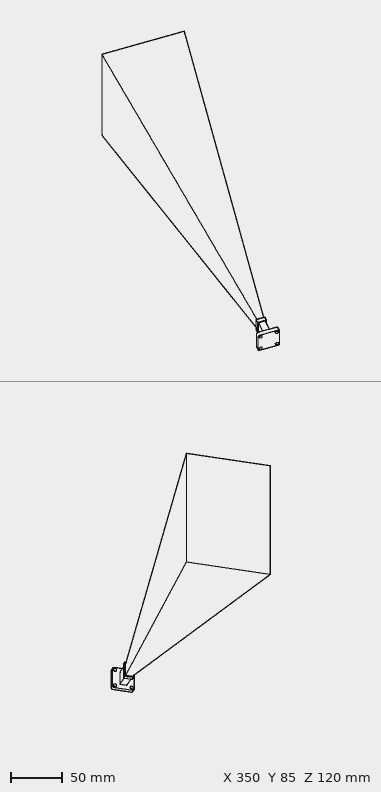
import cadquery as cq

total_length = 350.0
mouth_width = 85.0
mouth_height = 120.0

guide_width = 7.0
guide_height = 13.3

collar_length = 4.2
collar_wall = 1.0
collar_to_flange = 14.7

flange_size = 22.5
flange_thickness = 4.2
flange_corner_radius = 2.0
bolt_spacing = 16.8
bolt_hole_diameter = 3.0

flange_start = total_length - flange_thickness
collar_end = flange_start - collar_to_flange
collar_start = collar_end - collar_length


def block(start, length, width, height):
    """Rectangular bar along X, centred on the horn axis."""
    return cq.Workplane("YZ", origin=(start, 0, 0)).rect(width, height).extrude(length)


def make_horn():
    """Solid pyramid tapering from the mouth to the waveguide."""
    return (
        cq.Workplane("YZ")
        .rect(mouth_width, mouth_height)
        .workplane(offset=collar_start)
        .rect(guide_width, guide_height)
        .loft(ruled=True)
    )


def make_flange():
    """Square plate with rounded corners and a bolt hole near each corner."""
    plate = block(flange_start, flange_thickness, flange_size, flange_size)
    return (
        plate.edges("|X")
        .fillet(flange_corner_radius)
        .faces("<X")
        .workplane(centerOption="CenterOfBoundBox")
        .rect(bolt_spacing, bolt_spacing, forConstruction=True)
        .vertices()
        .hole(bolt_hole_diameter)
    )


waveguide = block(collar_start, flange_start - collar_start, guide_width, guide_height)
collar = block(
    collar_start, collar_length, guide_width + 2 * collar_wall, guide_height + 2 * collar_wall
)

result = make_horn().union(waveguide).union(collar).union(make_flange())